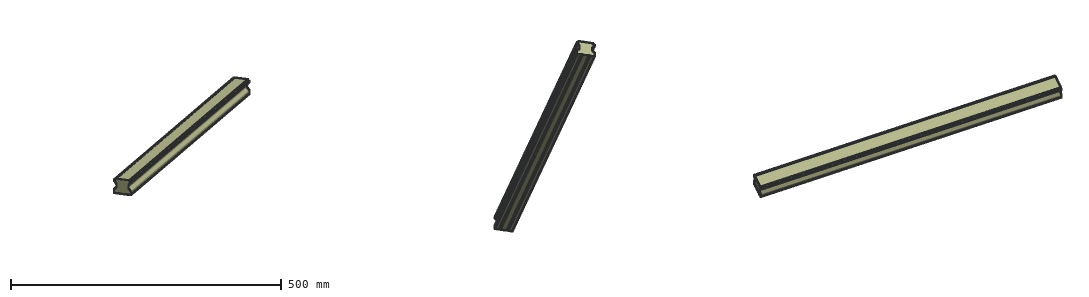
import cadquery as cq

width = 34.0
length = 600.0
height = 29.0
half_width = width / 2

top_half_width = 14.0
groove_top = height - 0.5
lip_top = 26.0
groove_bow = 0.9

lip_bottom = 24.0
bevel_half_width = 15.0
bevel_bottom = 23.0

web_half_width = 12.0
web_top = 18.0
web_bottom = 12.5
foot_top = 7.0
web_top_radius = 3.5
web_bottom_radius = 2.5
foot_radius = 2.0
base_chamfer = 0.9

base_groove_inner = 6.0
base_groove_outer = 9.0
base_groove_depth = 0.5


def mirrored(points):
    """Reflect points across the centre plane, in reverse order."""
    return [(-x, z) for x, z in reversed(points)]


def rail_body():
    """Symmetric rail profile extruded along its length, with sharp waist corners."""
    flank = [
        (half_width - base_chamfer, 0),
        (half_width, base_chamfer),
        (half_width, foot_top),
        (web_half_width, web_bottom),
        (web_half_width, web_top),
        (bevel_half_width, bevel_bottom),
        (half_width, lip_bottom),
        (half_width, lip_top),
    ]
    groove_middle = (
        (half_width + top_half_width) / 2 - groove_bow,
        (lip_top + groove_top) / 2 - groove_bow,
    )
    head = [(top_half_width, groove_top), (top_half_width, height)]

    outline = cq.Workplane("XZ").polyline(flank)
    outline = outline.threePointArc(groove_middle, head[0]).lineTo(*head[1])
    for point in mirrored(head):
        outline = outline.lineTo(*point)
    left_middle = (-groove_middle[0], groove_middle[1])
    outline = outline.threePointArc(left_middle, (-half_width, lip_top))
    for point in mirrored(flank)[1:]:
        outline = outline.lineTo(*point)
    return outline.close().extrude(length / 2, both=True)


def round_corners(body, half_spacing, z, radius):
    """Fillet the pair of lengthwise edges at X = +/-half_spacing and height z."""
    for side in (-1, 1):
        edge = cq.selectors.NearestToPointSelector((side * half_spacing, 0, z))
        body = body.edges("|Y").edges(edge).fillet(radius)
    return body


def cut_base_grooves(body):
    """Cut the two lengthwise grooves into the underside."""
    groove_centre = (base_groove_inner + base_groove_outer) / 2
    grooves = (
        cq.Workplane("XY")
        .pushPoints([(-groove_centre, 0), (groove_centre, 0)])
        .rect(base_groove_outer - base_groove_inner, length)
        .extrude(base_groove_depth)
    )
    return body.cut(grooves)


rail = rail_body()
rail = round_corners(rail, web_half_width, web_top, web_top_radius)
rail = round_corners(rail, web_half_width, web_bottom, web_bottom_radius)
rail = round_corners(rail, half_width, foot_top, foot_radius)
result = cut_base_grooves(rail)